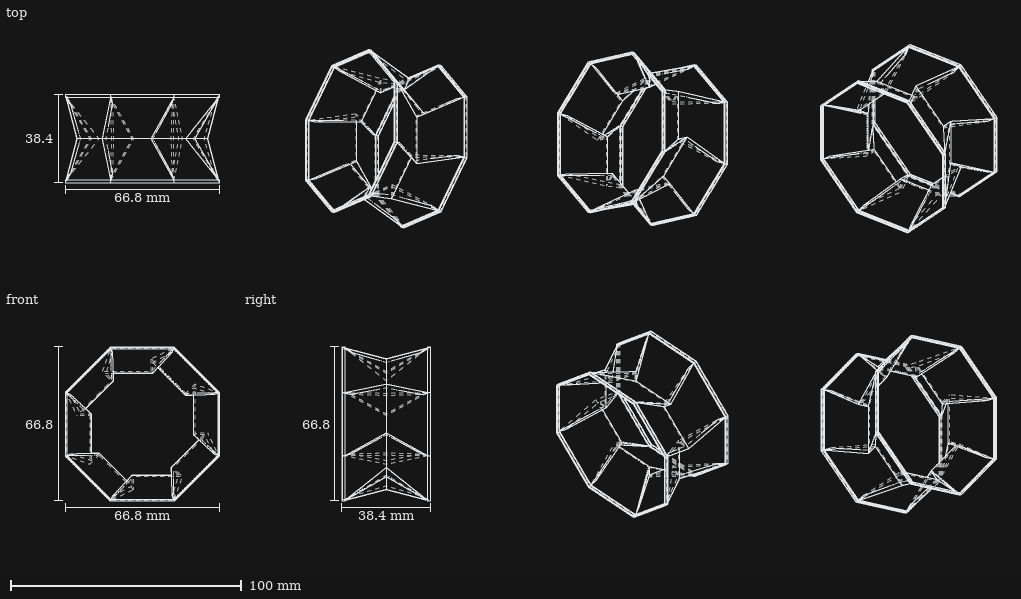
import cadquery as cq
import math

SIDES = 8
OUTER_APOTHEM = 33.4
LENGTH = 38.4
RIM_WIDTH = 1.3
WALL = 0.7

PANEL_APOTHEM = 33.05
INNER_FOLD_APOTHEM = 31.2
WAIST_APOTHEM = 22.8
WAIST_START = -17.35
WAIST_END = 3.8

PITCH = 2 * math.pi / SIDES
HALF_LENGTH = LENGTH / 2
RIM_Y = HALF_LENGTH - RIM_WIDTH


def ring_point(index, along, apothem, y):
    """Point on side number index, counted clockwise in XZ from the top side."""
    angle = index * PITCH
    x = along * math.cos(angle) + apothem * math.sin(angle)
    z = apothem * math.cos(angle) - along * math.sin(angle)
    return cq.Vector(x, y, z)


def flat_face(points):
    return cq.Face.makeFromWires(cq.Wire.makePolygon(points, close=True))


def octagon_prism(apothem, y_start, length):
    half_side = apothem * math.tan(PITCH / 2)
    corners = [ring_point(i, half_side, apothem, y_start) for i in range(SIDES)]
    return cq.Solid.extrudeLinear(flat_face(corners), cq.Vector(0, length, 0))


def folded_body(end_apothem, fold_apothem, waist_apothem, waist_start, waist_end):
    """Solid with a sawtooth waist, joined by flat panels and triangular folds to two octagons.

    Each fold starts where adjacent panels have narrowed to fold_apothem.
    """
    half_side = end_apothem * math.tan(PITCH / 2)
    faces = []
    for y in (-RIM_Y, RIM_Y):
        corners = [ring_point(i, half_side, end_apothem, y) for i in range(SIDES)]
        faces.append(flat_face(corners))
        fold_y = y * (fold_apothem - waist_apothem) / (end_apothem - waist_apothem)
        fold_half_side = fold_apothem * math.tan(PITCH / 2)
        tips = [ring_point(i, fold_half_side, fold_apothem, fold_y) for i in range(SIDES)]
        for i in range(SIDES):
            start = ring_point(i, waist_start, waist_apothem, 0)
            end = ring_point(i, waist_end, waist_apothem, 0)
            next_start = ring_point(i + 1, waist_start, waist_apothem, 0)
            panel = [corners[i - 1], corners[i], end, start]
            if fold_apothem < end_apothem:
                panel = [corners[i - 1], corners[i], tips[i], end, start, tips[i - 1]]
            faces.append(flat_face(panel))
            faces.append(flat_face([tips[i], next_start, end]))
    return cq.Workplane(cq.Solid.makeSolid(cq.Shell.makeShell(faces)).fix())


outer = folded_body(PANEL_APOTHEM, PANEL_APOTHEM, WAIST_APOTHEM, WAIST_START, WAIST_END)
tooth_angle = PITCH
cavity = folded_body(
    OUTER_APOTHEM - WALL,
    INNER_FOLD_APOTHEM,
    WAIST_APOTHEM - WALL,
    WAIST_START + WALL / math.tan(tooth_angle / 2),
    WAIST_END + WALL,
)

result = outer
for y_start in (-HALF_LENGTH, RIM_Y):
    result = result.union(octagon_prism(OUTER_APOTHEM, y_start, RIM_WIDTH))
result = result.cut(cavity)
for y_start in (-HALF_LENGTH, RIM_Y):
    result = result.cut(octagon_prism(OUTER_APOTHEM - WALL, y_start, RIM_WIDTH))